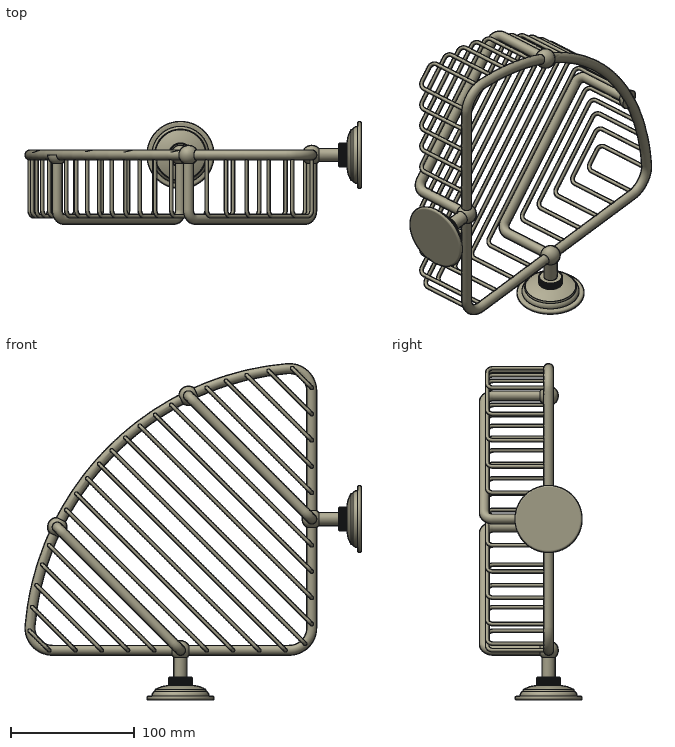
import cadquery as cq
import math


tube_diameter = 8.1
frame_radius = 228.2
corner_radius = 18.2

pitch = 21.2
rods_per_side = 10
bar_place = 5
wire_diameter = 3.0
wire_bend_radius = 5.0
bar_bend_radius = 7.3
leg_depth = 44.5
ball_radius = 8.0

mount_offset = pitch * bar_place
wall_distance = 40.2
stem_radius = 5.5
plate_radius = 27.2
plate_thickness = 3.3
rim_radius = 23.0
rim_bulge_radius = 22.5
rim_bulge_height = 5.5
rim_top_radius = 21.0
rim_top_height = 7.0
dome_radius = 20.5
dome_height = 8.7
dome_mid_radius = 15.5
dome_mid_height = 11.0
knurl_base = 12.0
knurl_height = 6.5
knurl_radius = 9.8
knurl_depth = 0.68
knurl_chamfer = 0.8
knurl_teeth = 60

diagonal = cq.Vector(-1, 0, 1).normalized()
downward = cq.Vector(0, -1, 0)


def arc_points(center, start_angle, end_angle, radius=corner_radius):
    """Middle and end points of an arc in the XZ plane, angles in degrees from +X to +Z."""
    points = []
    for angle in ((start_angle + end_angle) / 2, end_angle):
        turn = math.radians(angle)
        points.append((center[0] + radius * math.cos(turn), center[1] + radius * math.sin(turn)))
    return points


def make_frame():
    far = math.sqrt((frame_radius - corner_radius) ** 2 - corner_radius ** 2)
    tilt = math.degrees(math.asin(corner_radius / (frame_radius - corner_radius)))
    path = (
        cq.Workplane("XZ")
        .moveTo(-far / 2, 0)
        .lineTo(-corner_radius, 0)
        .threePointArc(*arc_points((-corner_radius, corner_radius), -90, 0))
        .lineTo(0, far)
        .threePointArc(*arc_points((-corner_radius, far), 0, 90 + tilt))
        .threePointArc(*arc_points((0, 0), 90 + tilt, 180 - tilt, frame_radius))
        .threePointArc(*arc_points((-far, corner_radius), 180 - tilt, 270))
        .close()
    )
    section = cq.Workplane("YZ", origin=(-far / 2, 0, 0)).circle(tube_diameter / 2)
    return section.sweep(path)


def rod_ends(offset):
    """Ends of the sloping line z + x = offset, on a straight side and on the large arc."""
    arc_x = (offset - math.sqrt(2 * frame_radius ** 2 - offset ** 2)) / 2
    if offset == 0:
        inset = corner_radius * (1 - math.sqrt(0.5))
        side = cq.Vector(-inset, 0, inset)
    else:
        side = cq.Vector(min(offset, 0), 0, max(offset, 0))
    return side, cq.Vector(arc_x, 0, offset - arc_x)


def make_rod(offset, diameter, bend_radius):
    """U-shaped rod: down from a straight side, along the slope and up to the large arc."""
    side, arc = rod_ends(offset)
    length = (arc - side).Length
    depth = leg_depth + bend_radius
    bend_mid = bend_radius * (1 - math.sqrt(0.5))
    plane = cq.Plane(origin=side, xDir=diagonal, normal=diagonal.cross(downward))
    path = (
        cq.Workplane(plane)
        .lineTo(0, leg_depth)
        .threePointArc((bend_mid, depth - bend_mid), (bend_radius, depth))
        .lineTo(length - bend_radius, depth)
        .threePointArc((length - bend_mid, depth - bend_mid), (length, leg_depth))
        .lineTo(length, 0)
    )
    section = cq.Workplane(cq.Plane(origin=side, xDir=diagonal, normal=downward)).circle(diameter / 2)
    return section.sweep(path)


def make_knurl():
    """Toothed ring around the Z axis, with both of its rims chamfered."""
    points = []
    for step in range(2 * knurl_teeth):
        radius = knurl_radius - knurl_depth * (step % 2)
        turn = math.pi * step / knurl_teeth
        points.append((radius * math.cos(turn), radius * math.sin(turn)))
    teeth = cq.Workplane("XY").workplane(offset=knurl_base).polyline(points).close().extrude(knurl_height)
    envelope = (
        cq.Workplane("XY")
        .workplane(offset=knurl_base)
        .circle(knurl_radius)
        .extrude(knurl_height)
        .edges()
        .chamfer(knurl_chamfer)
    )
    return teeth.intersect(envelope)


def make_mount():
    """Wall mount around the Z axis, standing on the wall at z = 0."""
    edge_radius = plate_thickness / 2
    flat_radius = plate_radius - edge_radius
    rose = (
        cq.Workplane("XZ")
        .lineTo(flat_radius, 0)
        .threePointArc((plate_radius, edge_radius), (flat_radius, plate_thickness))
        .lineTo(rim_radius, plate_thickness)
        .threePointArc((rim_bulge_radius, rim_bulge_height), (rim_top_radius, rim_top_height))
        .lineTo(dome_radius, dome_height)
        .threePointArc((dome_mid_radius, dome_mid_height), (knurl_radius, knurl_base))
        .lineTo(0, knurl_base)
        .close()
        .revolve(360, (0, 0), (0, 1))
    )
    stem = cq.Workplane("XY").circle(stem_radius).extrude(wall_distance)
    return rose.union(make_knurl()).union(stem)


def make_ball(center):
    return cq.Workplane("XY").sphere(ball_radius).translate(center)


def make_half_ball(center):
    """Front half of a ball, with its flat face on the frame's centre plane."""
    front = cq.Workplane("XZ").rect(2 * ball_radius, 2 * ball_radius).extrude(ball_radius)
    return cq.Workplane("XY").sphere(ball_radius).intersect(front).translate(center)


result = make_frame()

for place in range(-rods_per_side, rods_per_side + 1):
    if abs(place) == bar_place:
        result = result.union(make_rod(place * pitch, tube_diameter, bar_bend_radius))
        straight_end, arc_end = rod_ends(place * pitch)
        result = result.union(make_ball(straight_end))
        make_joint = make_ball if place > 0 else make_half_ball
        result = result.union(make_joint(arc_end))
    else:
        result = result.union(make_rod(place * pitch, wire_diameter, wire_bend_radius))

lower_mount = make_mount().translate((-mount_offset, 0, -wall_distance))
side_mount = (
    make_mount()
    .rotate((0, 0, 0), (0, 1, 0), -90)
    .translate((wall_distance, 0, mount_offset))
)
result = result.union(lower_mount).union(side_mount)